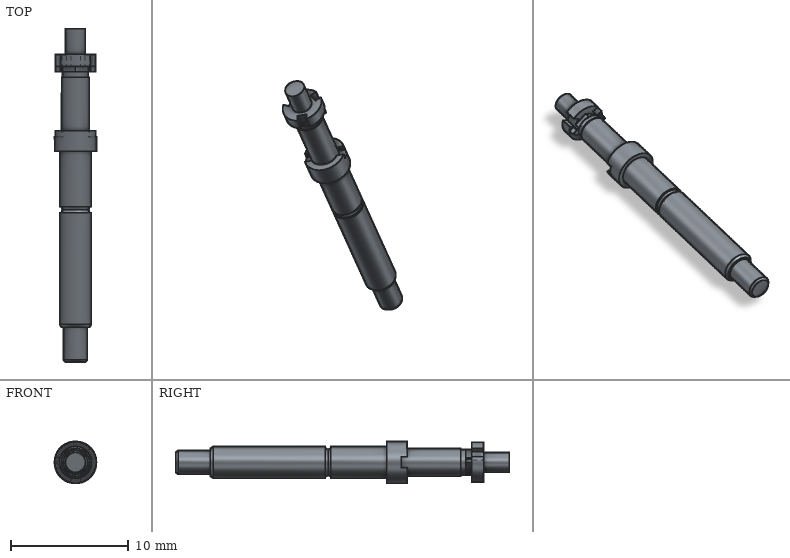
import cadquery as cq

length = 28.5
rear_end = length / 2
front_end = -length / 2

pin_radius = 0.85
flange_radius = 1.8
retainer_radius = 1.75
neck_radius = 1.1
rod_radius = 1.2
barrel_radius = 1.37
tip_radius = 1.03

retainer_rear = 12.05
retainer_front = 11.03
key_front = 10.55
rod_rear = 10.1
flange_rear = 5.53
flange_front = 3.75
groove_middle = -1.23
barrel_front = -11.3

groove_width = 0.48
groove_edge_radius = 1.23
groove_root_radius = neck_radius
groove_rear = groove_middle + groove_width / 2
groove_front = groove_middle - groove_width / 2

bevel_depth = 0.17
barrel_bevel_length = 0.25
tip_bevel_length = 0.2

key_half_width = 1.7
key_half_height = neck_radius

slot_angles = (30, 150, 270)
slot_width = 0.83
slot_floor_radius = 1.15

notch_width = 0.95
notch_depth = 0.5


def turned_bodies():
    """Return the turned bodies behind and in front of the diamond key."""
    rear_half = [
        (0, rear_end),
        (pin_radius, rear_end),
        (pin_radius, retainer_rear),
        (retainer_radius, retainer_rear),
        (retainer_radius, retainer_front),
        (0, retainer_front),
    ]
    front_half = [
        (0, key_front),
        (neck_radius, key_front),
        (neck_radius, rod_rear),
        (rod_radius, rod_rear),
        (rod_radius, flange_rear),
        (flange_radius, flange_rear),
        (flange_radius, flange_front),
        (barrel_radius, flange_front),
        (barrel_radius, groove_rear),
        (groove_edge_radius, groove_rear),
        (groove_root_radius, groove_middle),
        (groove_edge_radius, groove_front),
        (barrel_radius, groove_front),
        (barrel_radius, barrel_front + barrel_bevel_length),
        (barrel_radius - bevel_depth, barrel_front),
        (tip_radius, barrel_front),
        (tip_radius, front_end + tip_bevel_length),
        (tip_radius - bevel_depth, front_end),
        (0, front_end),
    ]
    return revolve_about_y(rear_half), revolve_about_y(front_half)


def revolve_about_y(profile):
    """Turn a closed (radius, Y) outline a full circle about the Y axis."""
    return cq.Workplane("XY").polyline(profile).close().revolve(360, (0, 0, 0), (0, 1, 0))


def diamond_key():
    """Diamond prism joining the retainer collar to the neck."""
    corners = [
        (key_half_width, 0),
        (0, key_half_height),
        (-key_half_width, 0),
        (0, -key_half_height),
    ]
    return (
        cq.Workplane("XZ", origin=(0, retainer_front, 0))
        .polyline(corners)
        .close()
        .extrude(retainer_front - key_front)
    )


def radial_slot(angle):
    """Block that cuts one flat-bottomed slot, pointing at the given angle from +X toward +Z."""
    block = cq.Workplane("XY").box(
        retainer_radius, retainer_rear - key_front, slot_width, centered=(False, False, True)
    )
    return block.translate((slot_floor_radius, key_front, 0)).rotate((0, 0, 0), (0, 1, 0), -angle)


def flange_notch(side):
    """Block that notches the flange down to the rod surface; side is +1 or -1 along X."""
    block = cq.Workplane("XY").box(
        flange_radius, notch_depth, notch_width, centered=(True, False, True)
    )
    block = block.translate((side * flange_radius / 2, flange_rear - notch_depth, 0))
    rod = cq.Workplane("XZ", origin=(0, flange_rear, 0)).circle(rod_radius).extrude(notch_depth)
    return block.cut(rod)


rear_body, front_body = turned_bodies()
result = rear_body.union(diamond_key()).union(front_body)

for slot_angle in slot_angles:
    result = result.cut(radial_slot(slot_angle))

for notch_side in (1, -1):
    result = result.cut(flange_notch(notch_side))